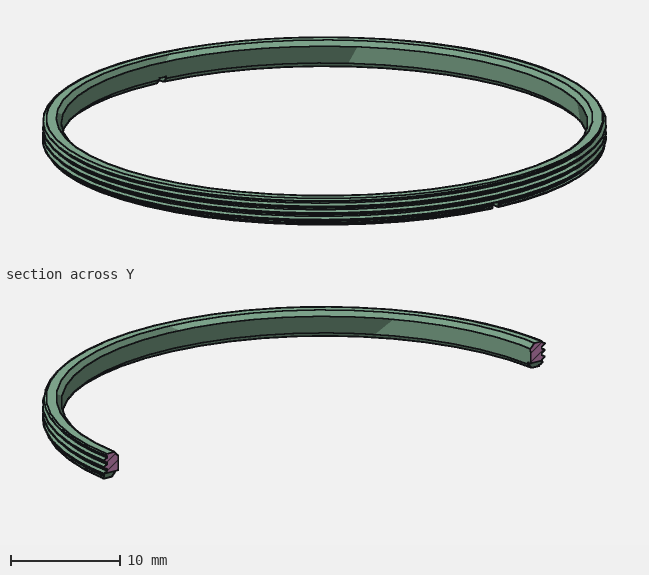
import cadquery as cq

outer_radius = 25.85
bore_radius = 24.15
height = 2.55
outer_chamfer = 0.3
bore_chamfer = 0.45

pitch = height / 4
thread_depth = 0.35
crest_flat = pitch / 8
root_flat = pitch / 4
overshoot = 0.05
first_turn_z = -1.5 * pitch
turn_count = 6

slot_width = 0.8
slot_depth = 0.6


def make_ring():
    """Revolve the chamfered wall section about the Z axis."""
    section = [
        (bore_radius, bore_chamfer),
        (bore_radius + bore_chamfer, 0),
        (outer_radius - outer_chamfer, 0),
        (outer_radius, outer_chamfer),
        (outer_radius, height - outer_chamfer),
        (outer_radius - outer_chamfer, height),
        (bore_radius + bore_chamfer, height),
        (bore_radius, height - bore_chamfer),
    ]
    return cq.Workplane("XZ").polyline(section).close().revolve(360, (0, 0), (0, 1))


def make_groove_turn(start_z):
    """Sweep one turn of the trapezoidal groove between neighbouring crests."""
    root_radius = outer_radius - thread_depth
    root_half = root_flat / 2
    crest_half = (pitch - crest_flat) / 2
    flank_slope = (crest_half - root_half) / thread_depth
    mouth_half = crest_half + flank_slope * overshoot
    mouth_radius = outer_radius + overshoot
    helix = cq.Wire.makeHelix(pitch, pitch, root_radius, cq.Vector(0, 0, start_z))
    section = [
        (root_radius, start_z - root_half),
        (mouth_radius, start_z - mouth_half),
        (mouth_radius, start_z + mouth_half),
        (root_radius, start_z + root_half),
    ]
    return cq.Workplane("XZ").polyline(section).close().sweep(cq.Workplane(helix), isFrenet=True)


def make_slot():
    """Straight slot along X, open at the bottom face and through both walls."""
    return cq.Workplane("XY").box(3 * outer_radius, slot_width, slot_depth, centered=(True, True, False))


ring = make_ring()
for turn in range(turn_count):
    ring = ring.cut(make_groove_turn(first_turn_z + turn * pitch))

result = ring.cut(make_slot())